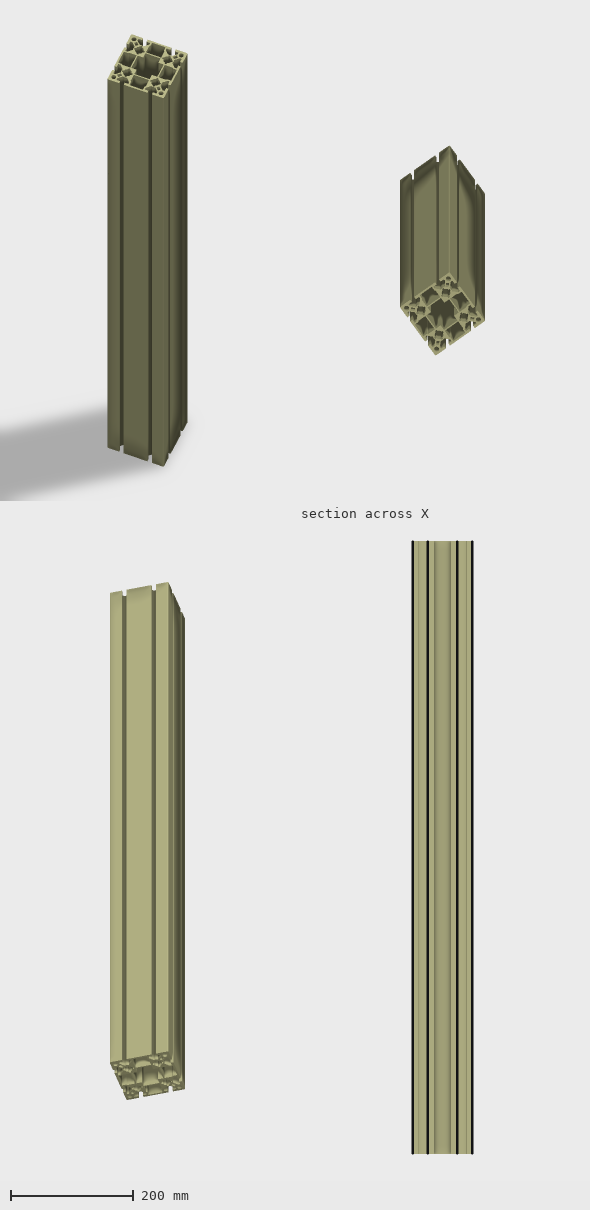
import cadquery as cq
import math

length = 1000.0
side = 100.0
half = side / 2
corner_radius = 2.0

half_pitch = side / 4

bore_radius = 7.0
hub_wall = 3.5
hub_radius = bore_radius + hub_wall
notch_width = 3.4
notch_span = 18.0

slot_width = 8.0
lip_thickness = 4.5
cavity_width = 21.0
corner_strut_spread = 6.5
flank_apex_depth = half_pitch - corner_strut_spread

skin = 3.0
chamber_mouth_width = 24.0
chamber_width = 27.0
chamber_mouth_depth = 10.0
wall_depth = 25.0
wall = 2.0

corner_hole_radius = 4.0
corner_hole_inset = 8.0
strut_hollow_width = 4.8
strut_hollow_inset = 13.0


def symmetric_prism(right_points):
    """Full-length prism mirrored about X = 0 from its right-hand outline."""
    left_points = [(-x, y) for x, y in reversed(right_points) if x > 0]
    return cq.Workplane("XY").polyline(right_points + left_points).close().extrude(length)


def bar(width, depth):
    return cq.Workplane("XY").rect(width, depth).extrude(length)


def cylinder(radius, x, y):
    return cq.Workplane("XY").center(x, y).circle(radius).extrude(length)


def turned(body, angle):
    return body.rotate((0, 0, 0), (0, 0, 1), angle)


def slot():
    """T-slot of the +Y face centred on X = 0: 45 degree flanks run in to the round hub."""
    mouth = slot_width / 2
    cavity = cavity_width / 2
    lip = half - lip_thickness
    pocket = symmetric_prism([
        (mouth, half),
        (mouth, lip),
        (cavity, lip),
        (cavity, half - (flank_apex_depth - cavity)),
        (0, half - flank_apex_depth),
    ])
    return pocket.cut(cylinder(hub_radius, 0, half_pitch))


def side_chamber():
    """Chamber between the two slots of the +Y face, narrower at its outer end."""
    mouth = chamber_mouth_width / 2
    inner = chamber_width / 2
    return symmetric_prism([
        (mouth, half - skin),
        (mouth, half - chamber_mouth_depth),
        (inner, half - chamber_mouth_depth - (inner - mouth)),
        (inner, half - wall_depth),
    ])


def central_chamber():
    """Cross-shaped chamber left between the four hubs."""
    span = side - 2 * (wall_depth + wall)
    return bar(span, chamber_width).union(bar(chamber_width, span))


def screw_bore():
    """Notched bore of the +X +Y module."""
    bore = cylinder(bore_radius, 0, 0)
    bore = bore.union(bar(notch_span, notch_width)).union(bar(notch_width, notch_span))
    return bore.translate((half_pitch, half_pitch, 0))


def corner_hole():
    """Round hollow just inside the +X +Y corner."""
    center = half - corner_hole_inset
    return cylinder(corner_hole_radius, center, center)


def strut_hollow():
    """Hollow of the +X +Y corner strut, from its outer end in to the round hub."""
    outer = (half - strut_hollow_inset) * math.sqrt(2)
    inner = half_pitch * math.sqrt(2)
    hollow = bar(outer - inner, strut_hollow_width).translate(((outer + inner) / 2, 0, 0))
    return turned(hollow, 45).cut(cylinder(hub_radius, half_pitch, half_pitch))


result = bar(side, side).edges("|Z").fillet(corner_radius).cut(central_chamber())

quarter_cuts = [slot().translate((x, 0, 0)) for x in (-half_pitch, half_pitch)]
quarter_cuts += [side_chamber(), screw_bore(), corner_hole(), strut_hollow()]
for quarter in range(4):
    for cut_body in quarter_cuts:
        result = result.cut(turned(cut_body, 90 * quarter))